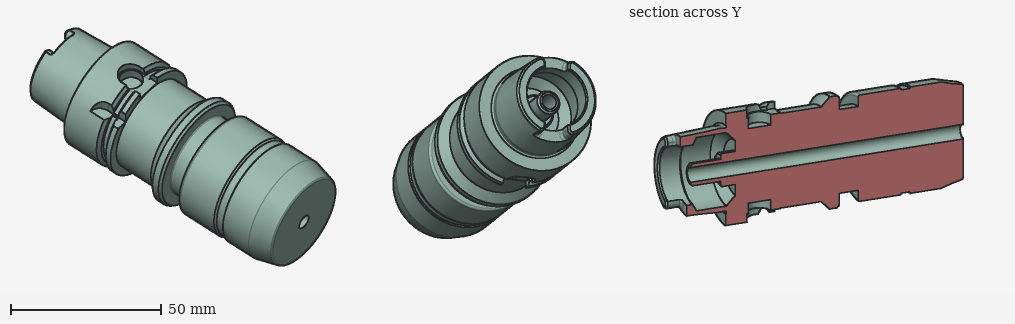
import cadquery as cq
import math

LENGTH = 106.8
TAPER_END = 17.8
COLLAR_START = 19.92
GROOVE_START = 33.9
GROOVE_END = 37.9
COLLAR_END = 39.9
SHANK_END = 54.8
RIM_START = 58.0
RIM_END = 61.5
SLEEVE_START = 68.2
NOSE_START = 98.5

COLLAR_R = 40.0 / 2
TAPER_R = 30.0 / 2
TAPER_RATIO = 0.05
RELIEF_R = 29.8 / 2
RELIEF_START = 18.8
SHANK_R = 16.93
NECK_R = 30.0 / 2
SLEEVE_R = 38.0 / 2
NOSE_R = 16.9
END_CHAMFER = 0.6

UNDERCUT_START = 19.8
UNDERCUT_R = 0.4

GROOVE_FLOOR_R = 17.5
GROOVE_SHOULDER_R = 18.6
GROOVE_SHOULDER = 1.0

RIM_CHAMFER_X = 1.0
RIM_CHAMFER_R = 0.7
NECK_FILLET = 0.3
SLEEVE_FILLET = 0.9
NOSE_FILLET = 0.6
BAND_START = 83.6
BAND_END = 87.5
BAND_R = 18.5
BAND_LEAD_IN = 0.7
BAND_LEAD_OUT = 0.3

KEYWAY_HALF = 8.0 / 2
KEYWAY_DEPTH_TOP = 3.3
KEYWAY_DEPTH_BOTTOM = 5.8
KEYWAY_SHOULDER_Z = 12.8
KEYWAY_CORNER_R = 1.7
KEYWAY_FLOOR_FILLET = 0.9

SLOT_HALF = 4.5
SLOT_CENTRE_X = 32.4
SLOT_FLOOR_Z = 17.1
POCKET_R = 8.0 / 2
POCKET_DEPTH = 3.7
NOTCH_OFFSET = 12.1

BORE_R = 21.0 / 2
BORE_MOUTH_R = 21.8 / 2
BORE_MOUTH_DEPTH = 0.6
BORE_STRAIGHT = 8.0
CAVITY_R = 26.0 / 2
LIP_ANGLE = 60
BORE_FLOOR_R = 19.4 / 2
BORE_DEPTH = 23.5
HUB_R = 12.0 / 2
HUB_CHAMFER = 0.5
HUB_TOP = 18.2
TUBE_R = 8.0 / 2
TUBE_TIP_R = 6.5 / 2
TUBE_TOP = 7.2
THROUGH_R = 5.0 / 2


def turned_body():
    taper_tip_r = TAPER_R - TAPER_RATIO * TAPER_END
    undercut_centre_r = RELIEF_R + UNDERCUT_R
    undercut_mouth = math.sqrt(UNDERCUT_R**2 - (COLLAR_START - UNDERCUT_START) ** 2)
    profile = (
        cq.Workplane("XY")
        .moveTo(0, 0)
        .lineTo(0, taper_tip_r)
        .lineTo(TAPER_END, TAPER_R)
        .lineTo(RELIEF_START, RELIEF_R)
        .lineTo(UNDERCUT_START, RELIEF_R)
        .threePointArc(
            (UNDERCUT_START + UNDERCUT_R, undercut_centre_r),
            (COLLAR_START, undercut_centre_r + undercut_mouth),
        )
        .lineTo(COLLAR_START, COLLAR_R)
        .lineTo(GROOVE_START, COLLAR_R)
        .lineTo(GROOVE_START + GROOVE_SHOULDER, GROOVE_SHOULDER_R)
        .lineTo(GROOVE_START + GROOVE_SHOULDER, GROOVE_FLOOR_R)
        .lineTo(GROOVE_END - GROOVE_SHOULDER, GROOVE_FLOOR_R)
        .lineTo(GROOVE_END - GROOVE_SHOULDER, GROOVE_SHOULDER_R)
        .lineTo(GROOVE_END, COLLAR_R)
        .lineTo(COLLAR_END, COLLAR_R)
        .lineTo(COLLAR_END, SHANK_R)
        .lineTo(SHANK_END, SHANK_R)
        .lineTo(RIM_START, COLLAR_R)
        .lineTo(RIM_END - RIM_CHAMFER_X, COLLAR_R)
        .lineTo(RIM_END, COLLAR_R - RIM_CHAMFER_R)
        .lineTo(RIM_END, NECK_R + NECK_FILLET)
        .radiusArc((RIM_END + NECK_FILLET, NECK_R), -NECK_FILLET)
        .lineTo(SLEEVE_START, NECK_R)
        .lineTo(SLEEVE_START, SLEEVE_R - SLEEVE_FILLET)
        .radiusArc((SLEEVE_START + SLEEVE_FILLET, SLEEVE_R), SLEEVE_FILLET)
        .lineTo(BAND_START, SLEEVE_R)
        .lineTo(BAND_START + BAND_LEAD_IN, BAND_R)
        .lineTo(BAND_END - BAND_LEAD_OUT, BAND_R)
        .lineTo(BAND_END, SLEEVE_R)
        .lineTo(NOSE_START, SLEEVE_R)
        .lineTo(LENGTH, NOSE_R)
        .lineTo(LENGTH, 0)
        .close()
    )
    body = profile.revolve(360, (0, 0, 0), (1, 0, 0))
    return body.faces(">X").edges().fillet(NOSE_FILLET)


def keyway_cutter(depth, side):
    """Keyway running from the axis outwards; side is +1 for +Z and -1 for -Z."""
    shoulder_y = KEYWAY_HALF + KEYWAY_CORNER_R
    corner_z = side * (KEYWAY_SHOULDER_Z - KEYWAY_CORNER_R)
    shoulder_z = side * KEYWAY_SHOULDER_Z
    bend = side * KEYWAY_CORNER_R
    outer_z = side * COLLAR_R
    return (
        cq.Workplane("YZ")
        .moveTo(-KEYWAY_HALF, 0)
        .lineTo(-KEYWAY_HALF, corner_z)
        .radiusArc((-shoulder_y, shoulder_z), -bend)
        .lineTo(-COLLAR_R, shoulder_z)
        .lineTo(-COLLAR_R, outer_z)
        .lineTo(COLLAR_R, outer_z)
        .lineTo(COLLAR_R, shoulder_z)
        .lineTo(shoulder_y, shoulder_z)
        .radiusArc((KEYWAY_HALF, corner_z), -bend)
        .lineTo(KEYWAY_HALF, 0)
        .close()
        .extrude(depth)
        .faces(">X")
        .edges()
        .fillet(KEYWAY_FLOOR_FILLET)
    )


def rounded_slot(centre_y, floor_z):
    """Upward-open slot with a round end, running out through the +X side of the collar."""
    height = COLLAR_R - floor_z
    run = COLLAR_END - SLOT_CENTRE_X
    straight = (
        cq.Workplane("XY")
        .box(run, 2 * SLOT_HALF, height, centered=(False, True, False))
        .translate((SLOT_CENTRE_X, centre_y, floor_z))
    )
    round_end = (
        cq.Workplane("XY")
        .workplane(offset=floor_z)
        .center(SLOT_CENTRE_X, centre_y)
        .circle(SLOT_HALF)
        .extrude(height)
    )
    return straight.union(round_end)


def drive_slot():
    pocket = (
        cq.Workplane("XY")
        .workplane(offset=SLOT_FLOOR_Z - POCKET_DEPTH)
        .center(SLOT_CENTRE_X, 0)
        .circle(POCKET_R)
        .extrude(POCKET_DEPTH)
    )
    return rounded_slot(0, SLOT_FLOOR_Z).union(pocket)


def stepped_bore():
    """Bore volume left open around the hub and the coolant tube."""
    lip_end = BORE_STRAIGHT + (CAVITY_R - BORE_R) / math.tan(math.radians(LIP_ANGLE))
    floor_bevel = CAVITY_R - BORE_FLOOR_R
    tip_length = TUBE_R - TUBE_TIP_R
    return (
        cq.Workplane("XY")
        .moveTo(0, 0)
        .lineTo(0, BORE_MOUTH_R)
        .lineTo(BORE_MOUTH_DEPTH, BORE_R)
        .lineTo(BORE_STRAIGHT, BORE_R)
        .lineTo(lip_end, CAVITY_R)
        .lineTo(BORE_DEPTH - floor_bevel, CAVITY_R)
        .lineTo(BORE_DEPTH, BORE_FLOOR_R)
        .lineTo(BORE_DEPTH, HUB_R)
        .lineTo(HUB_TOP + HUB_CHAMFER, HUB_R)
        .lineTo(HUB_TOP, HUB_R - HUB_CHAMFER)
        .lineTo(HUB_TOP, TUBE_R)
        .lineTo(TUBE_TOP + tip_length, TUBE_R)
        .lineTo(TUBE_TOP, TUBE_TIP_R)
        .lineTo(TUBE_TOP, 0)
        .close()
        .revolve(360, (0, 0, 0), (1, 0, 0))
    )


body = turned_body()

body = body.cut(keyway_cutter(KEYWAY_DEPTH_TOP, 1))
body = body.cut(keyway_cutter(KEYWAY_DEPTH_BOTTOM, -1))
body = body.faces("<X").edges().chamfer(END_CHAMFER)

top_slot = drive_slot()
body = body.cut(top_slot).cut(top_slot.rotate((0, 0, 0), (1, 0, 0), 180))
body = body.cut(rounded_slot(-NOTCH_OFFSET - SLOT_HALF, NOTCH_OFFSET))

body = body.cut(stepped_bore())
through_hole = cq.Workplane("YZ").circle(THROUGH_R).extrude(LENGTH)
result = body.cut(through_hole)